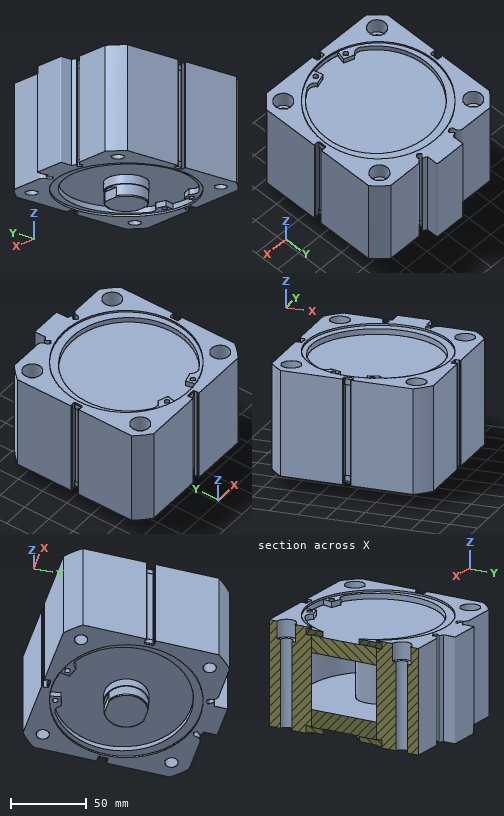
import cadquery as cq
import math

overall_depth = 124.0
body_width = 115.0
body_height = 75.0
half_width = body_width / 2

corner_radius = 74.3
bore_radius = 50.8

mount_spacing = 88.9
mount_hole_dia = 8.7
mount_counterbore_dia = 13.8
mount_counterbore_depth = 12.4

groove_half_width = 3.3
groove_mouth_half_width = 2.6
groove_mouth_flare = 0.5
groove_floor_chamfer = 0.6
groove_depth = 4.5
groove_lip = 1.0
groove_directions = (180, 270, 0)

block_half_width = 12.3
block_top = overall_depth - half_width
block_edge_radius = 0.5
barb_x = 15.5
barb_y = 55.9
relief_radius = 2.1
relief_x = 15.3
relief_y = 53.2
shoulder_radius = 4.5

ring_inset = 1.4
ring_thickness = 4.0
ring_outer_radius = 53.2
ring_inner_radius = 46.6
ring_inner_offset = 2.2
ring_gap_angle = 12.8
ring_lug_radius = 43.3
ring_lug_angle = 23.5
ring_lug_run_in = (19.8, -41.9)
ring_lug_merge_x = 25.5
ring_hole_dia = 3.6
ring_hole_x = 14.0
ring_hole_y = -44.8
ring_turns = (0, -1.0)
cover_thickness = 12.4
cover_inset = ring_inset + ring_thickness
lower_ring_z = ring_inset
upper_ring_z = body_height - cover_inset
ring_levels = (lower_ring_z, upper_ring_z)
rear_cover_z = upper_ring_z - cover_thickness

rod_radius = 15.0
rod_neck_radius = 14.8
rod_projection = 9.9
rod_collar_height = 1.1
rod_collar_chamfer = rod_radius - rod_neck_radius
rod_tip_chamfer_height = 0.9
rod_tip_chamfer_inset = 0.4
rod_flat_distance = 13.5
rod_flat_top = -3.1


def polar_from_minus_y(radius, angle):
    """Point at a radius and an angle measured from -Y towards +X."""
    turn = math.radians(angle)
    return (radius * math.sin(turn), -radius * math.cos(turn))


def mirrored_x(point):
    return (-point[0], point[1])


def port_block():
    positive_y_half = cq.Workplane("XY").box(
        body_width, block_top, body_height, centered=(True, False, False)
    )
    return (
        cq.Workplane("XY")
        .rect(2 * block_half_width, 2 * block_top)
        .extrude(body_height)
        .edges("|Z and >Y")
        .fillet(block_edge_radius)
        .intersect(positive_y_half)
    )


def relief_channel():
    """Channel beside the port block: barbed on the block side, rounded at the far shoulder."""
    inner_x = relief_x - relief_radius
    outer_x = relief_x + relief_radius
    shoulder_x = outer_x + shoulder_radius
    shoulder_mid = shoulder_radius * math.sqrt(0.5)
    return (
        cq.Workplane("XY")
        .moveTo(block_half_width, half_width)
        .lineTo(barb_x, barb_y)
        .lineTo(inner_x, relief_y)
        .threePointArc((relief_x, relief_y - relief_radius), (outer_x, relief_y))
        .threePointArc(
            (shoulder_x - shoulder_mid, half_width - shoulder_radius + shoulder_mid),
            (shoulder_x, half_width),
        )
        .close()
        .extrude(body_height)
    )


def sensor_groove(direction):
    """Undercut groove of full height on the side facing the given direction."""
    floor_x = half_width - groove_depth
    lip_x = half_width - groove_lip
    flare_x = half_width - groove_mouth_flare
    lower_half = [
        (floor_x, groove_floor_chamfer - groove_half_width),
        (floor_x + groove_floor_chamfer, -groove_half_width),
        (lip_x, -groove_half_width),
        (lip_x, -groove_mouth_half_width),
        (flare_x, -groove_mouth_half_width),
        (half_width, -groove_mouth_half_width - groove_mouth_flare),
    ]
    upper_half = [(x, -y) for x, y in reversed(lower_half)]
    return (
        cq.Workplane("XY")
        .polyline(lower_half + upper_half)
        .close()
        .extrude(body_height)
        .rotate((0, 0, 0), (0, 0, 1), direction)
    )


def ring_blank(bottom_z):
    """Full disc that fills a ring seat in the housing."""
    return cq.Workplane("XY").workplane(offset=bottom_z).circle(ring_outer_radius).extrude(ring_thickness)


def make_housing():
    corner_trim = cq.Workplane("XY").circle(corner_radius).extrude(body_height)
    body = cq.Workplane("XY").rect(body_width, body_width).extrude(body_height).intersect(corner_trim)
    body = body.union(port_block())
    right_channel = relief_channel()
    body = body.cut(right_channel).cut(right_channel.mirror("YZ"))
    for direction in groove_directions:
        body = body.cut(sensor_groove(direction))
    body = body.cut(cq.Workplane("XY").circle(bore_radius).extrude(body_height))
    for bottom_z in ring_levels:
        body = body.cut(ring_blank(bottom_z))
    return (
        body.faces(">Z")
        .workplane(origin=(0, 0, body_height))
        .rect(mount_spacing, mount_spacing, forConstruction=True)
        .vertices()
        .cboreHole(mount_hole_dia, mount_counterbore_dia, mount_counterbore_depth)
    )


def make_ring(bottom_z, turn):
    """Ring with an eccentric inner edge and two drilled lugs; the gap at -Y ends at the bore wall."""
    end_outer = polar_from_minus_y(bore_radius, ring_gap_angle)
    end_inner = polar_from_minus_y(ring_lug_radius, ring_gap_angle)
    lug_corner = polar_from_minus_y(ring_lug_radius, ring_lug_angle)
    merge_drop = math.sqrt(ring_inner_radius**2 - ring_lug_merge_x**2)
    merge = (ring_lug_merge_x, -ring_inner_offset - merge_drop)
    opening = (
        cq.Workplane("XY")
        .moveTo(*end_outer)
        .lineTo(*end_inner)
        .lineTo(*lug_corner)
        .threePointArc(ring_lug_run_in, merge)
        .threePointArc((0, ring_inner_radius - ring_inner_offset), mirrored_x(merge))
        .threePointArc(mirrored_x(ring_lug_run_in), mirrored_x(lug_corner))
        .lineTo(*mirrored_x(end_inner))
        .lineTo(*mirrored_x(end_outer))
        .threePointArc((0, -bore_radius), end_outer)
        .close()
        .extrude(ring_thickness)
    )
    lug_holes = (
        cq.Workplane("XY")
        .pushPoints([(ring_hole_x, ring_hole_y), (-ring_hole_x, ring_hole_y)])
        .circle(ring_hole_dia / 2)
        .extrude(ring_thickness)
    )
    return (
        ring_blank(0)
        .cut(opening)
        .cut(lug_holes)
        .rotate((0, 0, 0), (0, 0, 1), turn)
        .translate((0, 0, bottom_z))
    )


def make_rear_cover():
    return cq.Workplane("XY").workplane(offset=rear_cover_z).circle(bore_radius).extrude(cover_thickness)


def make_head_cover():
    return (
        cq.Workplane("XY")
        .workplane(offset=cover_inset)
        .circle(bore_radius)
        .circle(rod_radius)
        .extrude(cover_thickness)
    )


def wrench_flat():
    """Cutter for the -Y wrench flat, ending upwards in a 45 degree run-out."""
    reach = 2 * rod_radius - rod_flat_distance
    return (
        cq.Workplane("YZ")
        .polyline([
            (-rod_flat_distance, -rod_projection),
            (-rod_flat_distance, rod_flat_top),
            (-rod_flat_distance - reach, rod_flat_top + reach),
            (-rod_flat_distance - reach, -rod_projection),
        ])
        .close()
        .extrude(rod_radius, both=True)
    )


def make_rod():
    """Turned rod: full diameter in the housing, slightly reduced neck with two flats outside."""
    half_section = [
        (0, -rod_projection),
        (rod_neck_radius - rod_tip_chamfer_inset, -rod_projection),
        (rod_neck_radius, rod_tip_chamfer_height - rod_projection),
        (rod_neck_radius, -rod_collar_height - rod_collar_chamfer),
        (rod_radius, -rod_collar_height),
        (rod_radius, rear_cover_z),
        (0, rear_cover_z),
    ]
    rod = cq.Workplane("XZ").polyline(half_section).close().revolve(360, (0, 0, 0), (0, 1, 0))
    front_flat = wrench_flat()
    return rod.cut(front_flat).cut(front_flat.mirror("XZ"))


housing = make_housing()
rings = [
    make_ring(bottom_z, turn)
    for bottom_z, turn in zip(ring_levels, ring_turns)
]
rear_cover = make_rear_cover()
head_cover = make_head_cover()
rod = make_rod()

result = cq.Compound.makeCompound([
    housing.val(),
    *[ring.val() for ring in rings],
    rear_cover.val(),
    head_cover.val(),
    rod.val(),
])